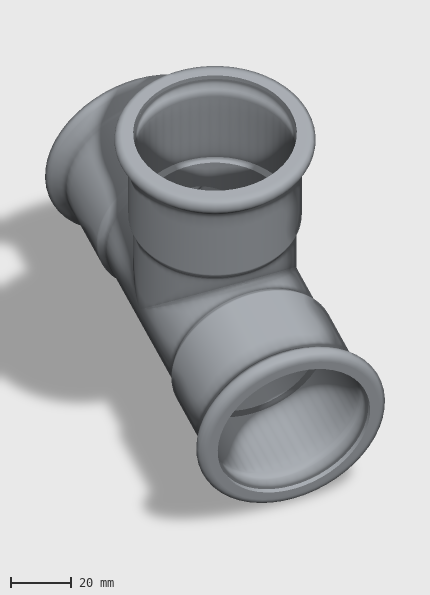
import cadquery as cq
import math

run_half_length = 71.0
overall_height = 105.0

body_radius = 53.4 / 2
bore_radius = 48.3 / 2
socket_radius = 57.0 / 2
socket_bore_radius = 53.7 / 2
wall = socket_radius - socket_bore_radius

rim_radius = 66.0 / 2
branch_height = overall_height - rim_radius
bead_round = 3.0
bead_depth = bead_round
bead_center_radius = rim_radius - bead_round
groove_round = bead_round - wall

neck_depth = 9.7
neck_round = 1.7
neck_center_radius = socket_radius + neck_round

step_start = 37.6
step_end = 40.6
step_round = 1.4

crotch_round = 1.4

center_distance = math.hypot(neck_depth - bead_depth, neck_center_radius - bead_center_radius)
center_line_angle = math.atan2(bead_center_radius - neck_center_radius, neck_depth - bead_depth)
cone_angle = math.asin((bead_round + neck_round) / center_distance) + center_line_angle


def bead_point(size, angle):
    """Point on the bead circle; the angle is measured from radially outward toward the body."""
    return bead_center_radius + size * math.cos(angle), bead_depth + size * math.sin(angle)


def neck_point(size, angle):
    """Point on the neck circle, on the side facing the pipe axis."""
    return neck_center_radius - size * math.cos(angle), neck_depth - size * math.sin(angle)


def revolve_along_z(profile, length):
    """Revolve a (radius, depth) profile about Z with its mouth moved to the given height."""
    solid = profile.close().revolve(360, (0, 0, 0), (0, 1, 0))
    return solid.rotate((0, 0, 0), (1, 0, 0), -90).translate((0, 0, length))


def outer_arm(length):
    profile = (
        cq.Workplane("XY")
        .moveTo(0, 0)
        .lineTo(bead_center_radius, 0)
        .threePointArc(bead_point(bead_round, 0), bead_point(bead_round, cone_angle))
        .lineTo(*neck_point(neck_round, cone_angle))
        .threePointArc(neck_point(neck_round, cone_angle / 2), neck_point(neck_round, 0))
        .lineTo(socket_radius, step_start)
        .lineTo(body_radius, step_end)
        .lineTo(body_radius, length)
        .lineTo(0, length)
    )
    arm = revolve_along_z(profile, length)
    step_edges = cq.selectors.BoxSelector(
        (-rim_radius, -rim_radius, length - step_end - step_round),
        (rim_radius, rim_radius, length - step_start + step_round),
    )
    return arm.edges("%CIRCLE").edges(step_edges).fillet(step_round)


def inner_arm(length):
    neck_bore_round = neck_round + wall
    profile = (
        cq.Workplane("XY")
        .moveTo(0, 0)
        .lineTo(socket_bore_radius, 0)
        .lineTo(socket_bore_radius, wall)
        .lineTo(bead_center_radius, wall)
        .threePointArc(bead_point(groove_round, 0), bead_point(groove_round, cone_angle))
        .lineTo(*neck_point(neck_bore_round, cone_angle))
        .threePointArc(neck_point(neck_bore_round, cone_angle / 2), neck_point(neck_bore_round, 0))
        .lineTo(socket_bore_radius, step_start)
        .lineTo(bore_radius, step_start)
        .lineTo(bore_radius, length)
        .lineTo(0, length)
    )
    return revolve_along_z(profile, length)


def tee(arm):
    """Join two opposite run arms and one branch arm."""
    run_arm = arm(run_half_length)
    right = run_arm.rotate((0, 0, 0), (0, 1, 0), 90)
    left = run_arm.rotate((0, 0, 0), (0, 1, 0), -90)
    return left.union(right).union(arm(branch_height))


outside = tee(outer_arm).clean()
crotch_edges = outside.edges("%ELLIPSE")
outside = outside.newObject(crotch_edges.vals()).fillet(crotch_round)
result = outside.cut(tee(inner_arm))